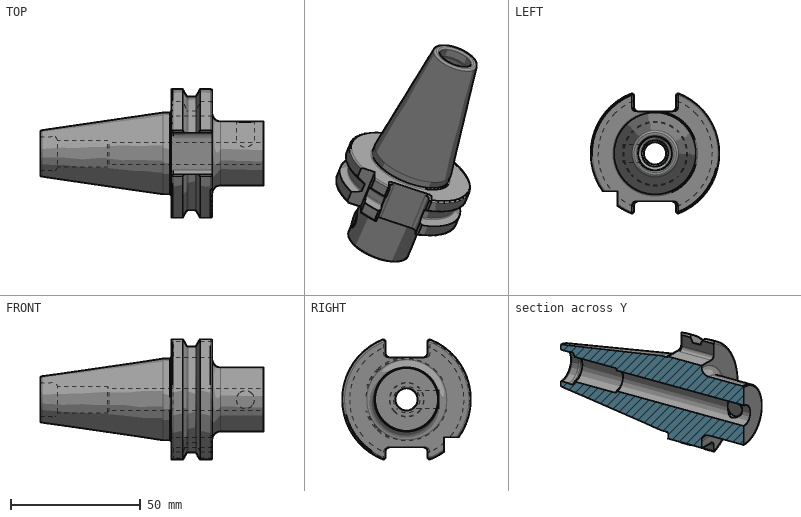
import cadquery as cq
import math

total_length = 86.75
taper_length = 47.5
flange_start = 50.75
flange_end = 66.8
flange_width = flange_end - flange_start

taper_radius = 15.9
taper_ratio = 7 / 24
small_end_radius = taper_radius - taper_length * taper_ratio / 2
small_end_round = 0.9
taper_root_fillet = 0.5

flange_radius = 25.0
cutter_top = flange_radius + 0.9
flange_front_round = 0.6
flange_back_round = 0.9

groove_center = 58.6
groove_mouth_width = 6.8
groove_root_radius = 22.1
groove_half_angle = 30.0
groove_root_fillet = 0.5

nose_radius = 12.5
nose_root_fillet = 3.0
nose_chamfer = 0.35

counterbore_radius = 6.5
relief_start = 3.8
relief_end = 4.7
relief_radius = 6.7
counterbore_depth = 5.8
counterbore_root_fillet = 0.4
counterbore_mouth_round = 0.8
thread_bore_radius = 5.1
through_bore_radius = 4.25
thread_bore_end = 26.0
cone_half_angle = 60.0

screw_radius = 3.5
screw_x = 79.5

slot_width = 16.1
top_slot_floor = 16.3
bottom_slot_floor = 18.6
slot_corner_radius = 1.65
slot_chamfer = 0.9
slot_rim_chamfer_height = 0.7

notch_side = 14.6
notch_top = 14.75

selection_margin = 0.1


def revolve_about_x(profile):
    """Close a half profile drawn in X and radius and turn it about the X axis."""
    return profile.close().revolve(360, (0, 0, 0), (1, 0, 0))


def x_disc(radius, start, end):
    return cq.Workplane("YZ", origin=(start, 0, 0)).circle(radius).extrude(end - start)


def make_taper():
    taper = revolve_about_x(
        cq.Workplane("XY")
        .lineTo(0, small_end_radius)
        .lineTo(taper_length, taper_radius)
        .lineTo(flange_start, taper_radius)
        .lineTo(flange_start, 0)
    )
    return taper.faces("<X").edges().fillet(small_end_round)


def make_groove_cutter():
    half_mouth = groove_mouth_width / 2
    groove_depth = flange_radius - groove_root_radius
    half_root = half_mouth - groove_depth * math.tan(math.radians(groove_half_angle))
    cutter = revolve_about_x(
        cq.Workplane("XY")
        .moveTo(groove_center - half_mouth, flange_radius)
        .lineTo(groove_center - half_root, groove_root_radius)
        .lineTo(groove_center + half_root, groove_root_radius)
        .lineTo(groove_center + half_mouth, flange_radius)
        .lineTo(groove_center + half_mouth, cutter_top)
        .lineTo(groove_center - half_mouth, cutter_top)
    )
    root = cq.selectors.RadiusNthSelector(0)
    return cutter.edges(root).fillet(groove_root_fillet)


def make_flange():
    flange = x_disc(flange_radius, flange_start, flange_end)
    flange = flange.faces("<X").edges().fillet(flange_front_round)
    flange = flange.faces(">X").edges().fillet(flange_back_round)
    return flange.cut(make_groove_cutter())


def make_nose():
    nose = x_disc(nose_radius, flange_end, total_length)
    return nose.faces(">X").edges().chamfer(nose_chamfer)


def ring_at(x, radius):
    """Selector for the circular edge of a given radius lying in the plane at x."""
    reach = radius + selection_margin
    return cq.selectors.BoxSelector(
        (x - selection_margin, -reach, -reach),
        (x + selection_margin, reach, reach),
        boundingbox=True,
    )


def make_blank():
    blank = make_taper().union(make_flange()).union(make_nose())
    blank = blank.edges(ring_at(flange_start, taper_radius)).fillet(taper_root_fillet)
    return blank.edges(ring_at(flange_end, nose_radius)).fillet(nose_root_fillet)


def make_bore_cutter():
    slope = math.tan(math.radians(cone_half_angle))
    cone_end = counterbore_depth + (relief_radius - thread_bore_radius) / slope
    tip_end = thread_bore_end + (thread_bore_radius - through_bore_radius) / slope
    mouth_radius = counterbore_radius + counterbore_mouth_round
    arc_offset = counterbore_mouth_round * (1 - math.sqrt(0.5))
    cutter = revolve_about_x(
        cq.Workplane("XY")
        .lineTo(0, mouth_radius)
        .threePointArc(
            (arc_offset, counterbore_radius + arc_offset),
            (counterbore_mouth_round, counterbore_radius),
        )
        .lineTo(relief_start, counterbore_radius)
        .lineTo(relief_end, relief_radius)
        .lineTo(counterbore_depth, relief_radius)
        .lineTo(cone_end, thread_bore_radius)
        .lineTo(thread_bore_end, thread_bore_radius)
        .lineTo(tip_end, through_bore_radius)
        .lineTo(total_length, through_bore_radius)
        .lineTo(total_length, 0)
    )
    return cutter.edges(ring_at(counterbore_depth, relief_radius)).fillet(counterbore_root_fillet)


def draw_slot(plane, width, floor):
    """Open-topped slot outline with rounded bottom corners, reaching past the flange rim."""
    half = width / 2
    flat = half - slot_corner_radius
    wall_foot = floor + slot_corner_radius
    return (
        plane.moveTo(-half, cutter_top)
        .lineTo(-half, wall_foot)
        .radiusArc((-flat, floor), -slot_corner_radius)
        .lineTo(flat, floor)
        .radiusArc((half, wall_foot), -slot_corner_radius)
        .lineTo(half, cutter_top)
        .close()
    )


def make_slot_cutter(floor):
    """Upward-opening drive slot with chamfered front and rim edges."""
    front = cq.Workplane("YZ", origin=(flange_start, 0, 0))
    wide = slot_width + 2 * slot_chamfer
    slot = draw_slot(front, slot_width, floor).extrude(flange_width)
    front_chamfer = draw_slot(
        draw_slot(front, wide, floor).workplane(offset=slot_chamfer), slot_width, floor
    ).loft(ruled=True)
    rim_height = math.sqrt(flange_radius**2 - (wide / 2) ** 2)
    rim_chamfer = (
        front.moveTo(0, rim_height - slot_rim_chamfer_height)
        .lineTo(slot_width / 2, rim_height - slot_rim_chamfer_height)
        .lineTo(wide / 2, rim_height)
        .lineTo(wide / 2, flange_radius)
        .lineTo(0, flange_radius)
        .close()
        .extrude(flange_width)
    )
    return slot.union(front_chamfer).union(rim_chamfer).union(rim_chamfer.mirror("XZ"))


def make_notch_cutter():
    """Square block removing the flange beyond notch_side in Y and below -notch_top in Z."""
    block = cq.Workplane("XY").box(flange_width, flange_radius, flange_radius, centered=False)
    return block.translate((flange_start, notch_side, -notch_top - flange_radius))


def y_cylinder(radius, x, start, end):
    """Solid cylinder parallel to Y, centered on z = 0."""
    return cq.Workplane("XZ", origin=(x, start, 0)).circle(radius).extrude(start - end)


def make_holder():
    holder = make_blank().cut(make_bore_cutter())
    holder = holder.cut(make_slot_cutter(top_slot_floor))
    holder = holder.cut(make_slot_cutter(bottom_slot_floor).rotate((0, 0, 0), (1, 0, 0), 180))
    holder = holder.cut(make_notch_cutter())
    return holder.cut(y_cylinder(screw_radius, screw_x, 0, nose_radius))


def make_set_screw():
    """Plain screw filling the side hole, its flat outer end level with the crest of the nose."""
    return y_cylinder(screw_radius, screw_x, through_bore_radius, nose_radius)


holder = make_holder()
set_screw = make_set_screw()
result = cq.Compound.makeCompound([holder.val(), set_screw.val()])